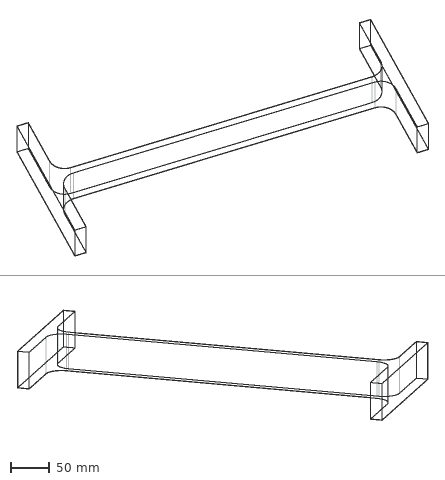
import cadquery as cq

section_depth = 500.0
flange_width = 200.0
flange_thickness = 16.0
web_thickness = 10.2
root_radius = 21.0
beam_length = 50.0

web_depth = section_depth - 2 * flange_thickness
flange_offset = (section_depth - flange_thickness) / 2


def plate(width, depth, center_y):
    """Rectangular plate standing on the XY plane, centred on X = 0."""
    return (
        cq.Workplane("XY")
        .center(0, center_y)
        .rect(width, depth)
        .extrude(beam_length)
    )


def root_edges(beam):
    """The four vertical inside corners where the web meets the flanges."""
    corners = [
        (side * web_thickness / 2, end * web_depth / 2, beam_length / 2)
        for side in (-1, 1)
        for end in (-1, 1)
    ]
    edges = [beam.edges(cq.NearestToPointSelector(corner)).val() for corner in corners]
    return beam.newObject(edges)


web = plate(web_thickness, web_depth, 0)
upper_flange = plate(flange_width, flange_thickness, flange_offset)
lower_flange = plate(flange_width, flange_thickness, -flange_offset)

beam = web.union(upper_flange).union(lower_flange)
result = root_edges(beam).fillet(root_radius)